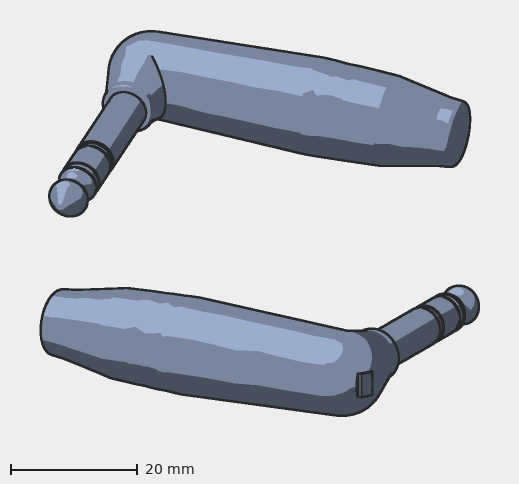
import cadquery as cq
import math


ELBOW_R = 6.75
BELLY_X = 27.5
BELLY_R = 7.8
SHOULDER_X = 40.1
SHOULDER_R = 7.27
BELLY_CROWN = 0.04
CUFF_X = 49.15
CUFF_R = 5.53
HANDLE_END_X = 51.9
HANDLE_END_R = 5.25
HANDLE_RIM_FILLET = 0.8

NECK_LENGTH = 9.46
COLLAR_R = 4.25
COLLAR_END = 10.95
COLLAR_FILLET = 0.35

SLEEVE_R = 6.35 / 2
RING_R = 3.14
INSULATOR_R = 2.98
SLEEVE_END = 26.05
SLEEVE_BEVEL_END = 26.25
RING_START = 27.3
RING_END = 32.5
TIP_START = 33.9
TIP_GROOVE_START = 34.77
TIP_GROOVE_END = 37.07
TIP_BULB_END = 39.36
TIP_LENGTH = 41.85
TIP_NECK_R = 2.65
TIP_GROOVE_R = 2.1
TIP_BULB_R = 3.15
TIP_POINT_R = 0.5
TIP_POINT_FILLET = 0.85

TAB_WIDTH = 3.9
TAB_BOTTOM_Y = 1.84
TAB_TOP_Y = 3.78
TAB_R = ELBOW_R + 0.02
TAB_CLEAR_X = -8.0
TAB_ROOT_X = -4.5
NOTCH_FLOOR_X = -5.05
NOTCH_TOP_Y = ELBOW_R


def tangent_circle(distance, radius):
    """Axial offset and radius where the cone ending at (distance, radius) touches the elbow sphere."""
    reach = math.hypot(distance, radius)
    tilt = math.atan2(distance, radius) - math.acos(ELBOW_R / reach)
    return ELBOW_R * math.sin(tilt), ELBOW_R * math.cos(tilt)


def make_handle():
    touch_x, touch_r = tangent_circle(BELLY_X, BELLY_R)
    diagonal = ELBOW_R * math.sqrt(0.5)
    crown_point = ((BELLY_X + SHOULDER_X) / 2, (BELLY_R + SHOULDER_R) / 2 + BELLY_CROWN)
    handle = (
        cq.Workplane("XY")
        .moveTo(-ELBOW_R, 0)
        .threePointArc((-diagonal, diagonal), (touch_x, touch_r))
        .lineTo(BELLY_X, BELLY_R)
        .threePointArc(crown_point, (SHOULDER_X, SHOULDER_R))
        .lineTo(CUFF_X, CUFF_R)
        .lineTo(HANDLE_END_X, HANDLE_END_R)
        .lineTo(HANDLE_END_X, 0)
        .close()
        .revolve(360, (0, 0, 0), (1, 0, 0))
    )
    return handle.faces(">X").edges().fillet(HANDLE_RIM_FILLET)


def make_neck():
    touch, touch_r = tangent_circle(NECK_LENGTH, COLLAR_R)
    neck = (
        cq.Workplane("XY")
        .moveTo(0, -touch)
        .lineTo(touch_r, -touch)
        .lineTo(COLLAR_R, -NECK_LENGTH)
        .lineTo(COLLAR_R, -COLLAR_END)
        .lineTo(0, -COLLAR_END)
        .close()
        .revolve(360, (0, 0, 0), (0, 1, 0))
    )
    return neck.faces("<Y").edges().fillet(COLLAR_FILLET)


def make_plug():
    shoulder_drop = RING_R - TIP_NECK_R
    shoulder_length = TIP_GROOVE_START - TIP_START
    shoulder_r = (shoulder_drop ** 2 + shoulder_length ** 2) / (2 * shoulder_drop)
    groove_mid = (TIP_GROOVE_R, -(TIP_GROOVE_START + TIP_GROOVE_END) / 2)
    bulb_mid = (TIP_BULB_R, -(TIP_GROOVE_END + TIP_BULB_END) / 2)
    plug = (
        cq.Workplane("XY")
        .moveTo(0, -NECK_LENGTH)
        .lineTo(SLEEVE_R, -NECK_LENGTH)
        .lineTo(SLEEVE_R, -SLEEVE_END)
        .lineTo(INSULATOR_R, -SLEEVE_BEVEL_END)
        .lineTo(INSULATOR_R, -RING_START)
        .lineTo(RING_R, -RING_START)
        .lineTo(RING_R, -RING_END)
        .lineTo(INSULATOR_R, -RING_END)
        .lineTo(INSULATOR_R, -TIP_START)
        .lineTo(RING_R, -TIP_START)
        .radiusArc((TIP_NECK_R, -TIP_GROOVE_START), shoulder_r)
        .threePointArc(groove_mid, (TIP_NECK_R, -TIP_GROOVE_END))
        .threePointArc(bulb_mid, (TIP_NECK_R, -TIP_BULB_END))
        .lineTo(TIP_POINT_R, -TIP_LENGTH)
        .lineTo(0, -TIP_LENGTH)
        .close()
        .revolve(360, (0, 0, 0), (0, 1, 0))
    )
    return plug.faces("<Y").edges().fillet(TIP_POINT_FILLET)


def tab_box(outer_x, inner_x, bottom_y, top_y):
    """Block of the tab's width between two X and two Y limits."""
    return (
        cq.Workplane("XY", origin=(outer_x, bottom_y, -TAB_WIDTH / 2))
        .box(inner_x - outer_x, top_y - bottom_y, TAB_WIDTH, centered=False)
    )


def make_tab():
    rounding = cq.Workplane("XY").circle(TAB_R).extrude(TAB_WIDTH / 2, both=True)
    return tab_box(TAB_CLEAR_X, TAB_ROOT_X, TAB_BOTTOM_Y, TAB_TOP_Y).intersect(rounding)


notch = tab_box(TAB_CLEAR_X, NOTCH_FLOOR_X, TAB_TOP_Y, NOTCH_TOP_Y)

result = make_handle().union(make_neck()).union(make_plug())
result = result.cut(notch).union(make_tab())